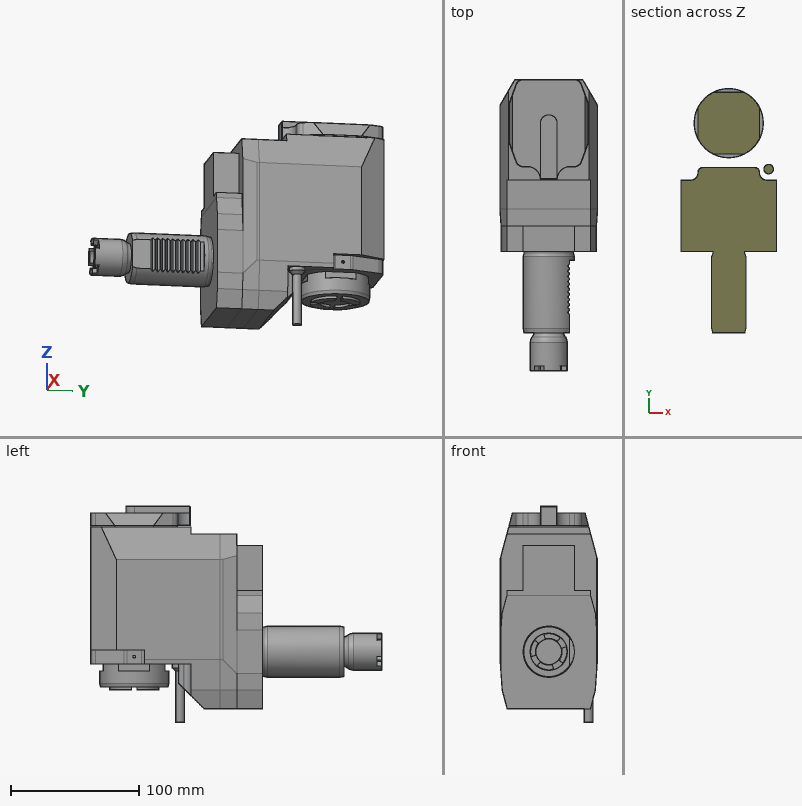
import cadquery as cq
import math


HALF_WIDTH = 38.0
STEEP_SLOPE = math.tan(math.radians(15))
SLIGHT_SLOPE = math.tan(math.radians(4))
BACK_SLOPE = math.tan(math.radians(30))
SIDE_TOP_Z = 72.0
SIDE_BOTTOM_Z = -6.2
LOWER_BREAK_Z = -30.0
HOUSING_BOTTOM_Z = -44.5
HOUSING_TOP_Z = 97.3
STEP_TOP_Z = 91.8

FLANGE_BACK_Y = 20.0
TAPER_BACK_Y = 31.0
SEAM_Y = 33.0
STEP_BACK_Y = 55.7
BACK_Y = 134.0
BACK_CHAMFER_LENGTH = 20.0
SPINDLE_Y = 100.0

UNDERSIDE_Z = -9.7
TOE_CHAMFER = 10.2
BOSS_BACK_Y = 65.5
BOSS_HALF_WIDTH = 24.0
BOSS_CORNER_RADIUS = 3.8
BOSS_ROOT_RADIUS = 5.5

FLANGE_SIDE_Z = 17.1
FLANGE_SHOULDER_Z = 43.8
LEDGE_TOP_Z = 47.9
BLOCK_TOP_Z = 82.9
BLOCK_HALF_WIDTH = 20.2

PLATE_END_HALF_WIDTH = 24.1
PLATE_CORNER_RADIUS = 5.75
PLATE_SIDE_SLOPE = math.tan(math.radians(20))
PLATE_HALF_LENGTH = BACK_Y - SPINDLE_Y
TOP_PLATE_BOTTOM_Z = 98.5
TOP_PLATE_TOP_Z = 108.3
PLATE_GAP_INSET = 0.25
BOTTOM_PLATE_TOP_Z = 1.5
BOTTOM_PLATE_HALF_WIDTH = 33.95
PAD_BLEND_RADIUS = 6.5
POCKET_FRONT_Y = 92.0
SIDE_HOLE_DIAMETER = 2.1
SIDE_HOLE_DEPTH = 4.0
SIDE_HOLE_Z = -3.8

KEY_WIDTH = 13.1
KEY_FRONT_Y = 56.3
KEY_BACK_Y = 106.5
KEY_TOP_Z = 113.5
KEY_CHAMFER = 0.6
KEY_FLARE_RADIUS = 9.7

NOSE_DIAMETER = 54.0
NOSE_FLAT_DISTANCE = 48.3
NOSE_FLAT_BOTTOM_Z = -14.9
NOSE_EDGE_Z = -24.9
NOSE_BOTTOM_Z = -27.6
NOSE_END_DIAMETER = 52.6
LUG_RING_DIAMETER = 38.7
LUG_RING_BORE = 23.0
LUG_BOTTOM_Z = -29.7
LUG_SLOT_WIDTH = 4.2

PIPE_DIAMETER = 7.0
PIPE_X = 31.1
PIPE_Y = 64.2
PIPE_BOTTOM_Z = -55.0
COLLAR_DIAMETER = 12.4
COLLAR_HEIGHT = 5.5
COLLAR_CHAMFER = 2.7

SHANK_DIAMETER = 40.0
SHANK_ROOT_DIAMETER = 38.7
SHANK_ROOT_LENGTH = 1.3
SHANK_ROOT_TAPER_END = 3.7
SHANK_LENGTH = 63.5
SHANK_END_CHAMFER_LENGTH = 3.5
SHANK_END_DIAMETER = 38.8
FLAT_X = 16.3
FLAT_START = 7.0
TOOTH_PITCH = 4.0
TOOTH_COUNT = 10
TOOTH_DEPTH = 1.5
TOOTH_HALF_OPENING = 1.7
FIRST_TOOTH = 11.4

COUPLING_DIAMETER = 29.0
COUPLING_NECK_DIAMETER = 23.0
COUPLING_END = 93.0
COUPLING_BODY_START = 70.9
COUPLING_NECK_HOLLOW = 0.3
COUPLING_SHOULDER_DIAMETER = 26.5
COUPLING_SHOULDER = 66.8
COUPLING_SHOULDER_BULGE = 0.3
COUPLING_RIM_CHAMFER = 0.4
COUPLING_BORE_DEPTH = 4.6
COUPLING_BORE = 20.0
COUPLING_SLOT_DEPTH = 3.8
COUPLING_SLOT_SPAN = 35.0
COUPLING_FIRST_SLOT = 33.0
COUPLING_SLOT_COUNT = 4

OVERSIZE = 200.0


def box(x_range, y_range, z_range):
    """Axis-aligned box between the given limits."""
    size = [high - low for low, high in (x_range, y_range, z_range)]
    corner = (x_range[0], y_range[0], z_range[0])
    return cq.Workplane("XY").box(*size, centered=False).translate(corner)


def both_sides(right_half):
    """Close a list of points with X >= 0 with their mirror image."""
    return right_half + [(-x, other) for x, other in reversed(right_half)]


def along_y(points, y_front, y_back):
    """Extrude an XZ outline from y_front to y_back."""
    sketch = cq.Workplane("XZ", origin=(0, y_front, 0)).polyline(points).close()
    return sketch.extrude(y_front - y_back)


def along_z(points, z_low, z_high):
    """Extrude an XY outline from z_low to z_high."""
    sketch = cq.Workplane("XY", origin=(0, 0, z_low)).polyline(points).close()
    return sketch.extrude(z_high - z_low)


def cylinder(diameter, z_top, z_bottom, x=0.0, y=SPINDLE_Y):
    """Vertical cylinder."""
    return cq.Workplane("XY", origin=(x, y, z_bottom)).circle(diameter / 2).extrude(z_top - z_bottom)


def upper_half_width(z):
    """Half width of the housing on its steep upper side faces."""
    return HALF_WIDTH - (z - SIDE_TOP_Z) * STEEP_SLOPE


def housing_section(z_top):
    """XZ outline of the housing up to z_top."""
    break_half = HALF_WIDTH - (SIDE_BOTTOM_Z - LOWER_BREAK_Z) * SLIGHT_SLOPE
    bottom_half = break_half - (LOWER_BREAK_Z - HOUSING_BOTTOM_Z) * STEEP_SLOPE
    right_half = [
        (bottom_half, HOUSING_BOTTOM_Z),
        (break_half, LOWER_BREAK_Z),
        (HALF_WIDTH, SIDE_BOTTOM_Z),
        (HALF_WIDTH, SIDE_TOP_Z),
        (upper_half_width(z_top), z_top),
    ]
    return both_sides(right_half)


def flange_half_width():
    """Half width where the front taper of the housing meets the flange."""
    return HALF_WIDTH - (TAPER_BACK_Y - FLANGE_BACK_Y) * SLIGHT_SLOPE


def tail_boss():
    """Rounded boss on the back of the housing foot, with hollow fillets at its root."""
    edge = BOSS_HALF_WIDTH
    root = edge + BOSS_ROOT_RADIUS
    arc_middle = 1 - math.sqrt(0.5)
    root_mid = BOSS_ROOT_RADIUS * arc_middle
    corner_mid = BOSS_CORNER_RADIUS * arc_middle
    half = (
        cq.Workplane("XY", origin=(0, 0, HOUSING_BOTTOM_Z))
        .moveTo(0, SEAM_Y)
        .lineTo(root, SEAM_Y)
        .lineTo(root, STEP_BACK_Y)
        .threePointArc((edge + root_mid, STEP_BACK_Y + root_mid), (edge, STEP_BACK_Y + BOSS_ROOT_RADIUS))
        .lineTo(edge, BOSS_BACK_Y - BOSS_CORNER_RADIUS)
        .threePointArc(
            (edge - corner_mid, BOSS_BACK_Y - corner_mid), (edge - BOSS_CORNER_RADIUS, BOSS_BACK_Y)
        )
        .lineTo(0, BOSS_BACK_Y)
        .close()
        .extrude(UNDERSIDE_Z - HOUSING_BOTTOM_Z)
    )
    return half.union(half.mirror("YZ"))


def toe_cut():
    """Wedge below the 45 degree plane at the lower back of the foot."""
    toe_y = STEP_BACK_Y - TOE_CHAMFER
    return (
        cq.Workplane("YZ", origin=(-OVERSIZE / 2, 0, 0))
        .moveTo(toe_y, HOUSING_BOTTOM_Z)
        .lineTo(toe_y + OVERSIZE, HOUSING_BOTTOM_Z + OVERSIZE)
        .lineTo(toe_y + OVERSIZE, HOUSING_BOTTOM_Z)
        .close()
        .extrude(OVERSIZE)
    )


def housing():
    """Main housing behind the front plate, with a pocket for the lower cover plate."""
    foot = along_y(housing_section(STEP_TOP_Z), SEAM_Y, STEP_BACK_Y)
    foot = foot.union(tail_boss()).cut(toe_cut())
    rear = along_y(housing_section(HOUSING_TOP_Z), STEP_BACK_Y, BACK_Y)
    rear = rear.intersect(
        box((-OVERSIZE, OVERSIZE), (STEP_BACK_Y, BACK_Y), (UNDERSIDE_Z, HOUSING_TOP_Z))
    )
    back_half = HALF_WIDTH - BACK_CHAMFER_LENGTH * BACK_SLOPE
    plan = both_sides(
        [(HALF_WIDTH, STEP_BACK_Y), (HALF_WIDTH, BACK_Y - BACK_CHAMFER_LENGTH), (back_half, BACK_Y)]
    )
    rear = rear.intersect(along_z(plan, UNDERSIDE_Z, HOUSING_TOP_Z))
    pocket = box(
        (-OVERSIZE, OVERSIZE), (POCKET_FRONT_Y, BACK_Y), (UNDERSIDE_Z, BOTTOM_PLATE_TOP_Z)
    )
    return foot.union(rear.cut(pocket))


def front_plate():
    """Front slice of the housing, tapering towards the flange."""
    plate = along_y(housing_section(STEP_TOP_Z), FLANGE_BACK_Y, SEAM_Y)
    plan = both_sides(
        [(flange_half_width(), FLANGE_BACK_Y), (HALF_WIDTH, TAPER_BACK_Y), (HALF_WIDTH, SEAM_Y)]
    )
    return plate.intersect(along_z(plan, HOUSING_BOTTOM_Z, STEP_TOP_Z))


def flange():
    """Flange with its ledge and the clamping block above it."""
    side_half = flange_half_width()
    break_half = side_half + (LOWER_BREAK_Z + FLANGE_SIDE_Z) * SLIGHT_SLOPE
    shoulder_half = break_half - (FLANGE_SHOULDER_Z + LOWER_BREAK_Z) * STEEP_SLOPE
    bottom_half = break_half - (LOWER_BREAK_Z - HOUSING_BOTTOM_Z) * STEEP_SLOPE
    outline = both_sides(
        [
            (bottom_half, HOUSING_BOTTOM_Z),
            (break_half, LOWER_BREAK_Z),
            (side_half, -FLANGE_SIDE_Z),
            (side_half, FLANGE_SIDE_Z),
            (break_half, -LOWER_BREAK_Z),
            (shoulder_half, FLANGE_SHOULDER_Z),
        ]
    )
    top_outline = both_sides(
        [
            (shoulder_half, FLANGE_SHOULDER_Z),
            (shoulder_half, LEDGE_TOP_Z),
            (BLOCK_HALF_WIDTH, LEDGE_TOP_Z),
            (BLOCK_HALF_WIDTH, BLOCK_TOP_Z),
        ]
    )
    block = along_y(top_outline, 0, FLANGE_BACK_Y)
    return along_y(outline, 0, FLANGE_BACK_Y).union(block, clean=False)


def cover_plate(side_half_width, z_low, z_high, inset=0.0):
    """Plate centred on the spindle, its sides sloping outwards to a flat, with rounded corners."""
    end = PLATE_HALF_LENGTH - inset
    end_half = PLATE_END_HALF_WIDTH - inset
    side_half = side_half_width - inset
    flat_end = end - (side_half - end_half) / PLATE_SIDE_SLOPE
    outline = both_sides(
        [(end_half, -end), (side_half, -flat_end), (side_half, flat_end), (end_half, end)]
    )
    plate = along_z(outline, z_low, z_high)
    for side in (">Y", "<Y"):
        plate = plate.faces(side).edges("|Z").fillet(PLATE_CORNER_RADIUS)
    return plate.translate((0, SPINDLE_Y, 0))


def key_flares():
    """Material between the key and the front edge of the top plate, hollowed by quarter circles."""
    front = SPINDLE_Y - PLATE_HALF_LENGTH
    web_half = KEY_WIDTH / 2 + KEY_FLARE_RADIUS
    web = box(
        (-web_half, web_half),
        (KEY_FRONT_Y + KEY_CHAMFER, front + KEY_WIDTH),
        (TOP_PLATE_BOTTOM_Z, TOP_PLATE_TOP_Z),
    )
    hollow = cylinder(
        2 * KEY_FLARE_RADIUS, TOP_PLATE_TOP_Z, TOP_PLATE_BOTTOM_Z, 0, front - KEY_FLARE_RADIUS
    )
    for side in (-1, 1):
        web = web.cut(hollow.translate((side * web_half, 0, 0)))
    return web


def top_plate():
    """Upper cover plate on a thin recessed joint, with its sides trimmed flush with the housing."""
    lower_half = upper_half_width(TOP_PLATE_BOTTOM_Z)
    plate = cover_plate(lower_half, TOP_PLATE_BOTTOM_Z, TOP_PLATE_TOP_Z).union(key_flares())
    trim = along_y(housing_section(TOP_PLATE_TOP_Z), 0, BACK_Y)
    joint = cover_plate(lower_half, HOUSING_TOP_Z, TOP_PLATE_BOTTOM_Z, PLATE_GAP_INSET)
    return plate.intersect(trim).union(joint)


def key():
    """Long key on the top plate, round at the back and chamfered at the front."""
    radius = KEY_WIDTH / 2
    straight_end = KEY_BACK_Y - radius
    bar = box((-radius, radius), (KEY_FRONT_Y, straight_end), (TOP_PLATE_BOTTOM_Z, KEY_TOP_Z))
    bar = bar.faces("<Y").edges("|Z or >Z").chamfer(KEY_CHAMFER)
    return bar.union(cylinder(KEY_WIDTH, KEY_TOP_Z, TOP_PLATE_BOTTOM_Z, 0, straight_end))


def bottom_plate():
    """Lower cover plate with a flat pad and a small hole on each side."""
    plate = cover_plate(BOTTOM_PLATE_HALF_WIDTH, UNDERSIDE_Z, BOTTOM_PLATE_TOP_Z)
    for side in (">X", "<X"):
        plate = plate.faces(side).edges("|Z").fillet(PAD_BLEND_RADIUS)
    for side in (-1, 1):
        hole = cq.Workplane("YZ", origin=(side * BOTTOM_PLATE_HALF_WIDTH, SPINDLE_Y, SIDE_HOLE_Z))
        plate = plate.cut(hole.circle(SIDE_HOLE_DIAMETER / 2).extrude(-side * SIDE_HOLE_DEPTH))
    return plate


def spindle_nose():
    """Spindle nose with four flats, a tapered end and a ring of lugs parted by cross slots."""
    body = cylinder(NOSE_DIAMETER, UNDERSIDE_Z, NOSE_BOTTOM_Z)
    body = body.faces("<Z").edges().chamfer(
        NOSE_EDGE_Z - NOSE_BOTTOM_Z, (NOSE_DIAMETER - NOSE_END_DIAMETER) / 2
    )
    flats = NOSE_FLAT_DISTANCE / 2
    square = box(
        (-flats, flats), (SPINDLE_Y - flats, SPINDLE_Y + flats), (NOSE_FLAT_BOTTOM_Z, UNDERSIDE_Z)
    )
    below = box(
        (-OVERSIZE, OVERSIZE), (-OVERSIZE, OVERSIZE), (NOSE_BOTTOM_Z, NOSE_FLAT_BOTTOM_Z)
    )
    body = body.intersect(square.union(below))
    ring = cylinder(LUG_RING_DIAMETER, NOSE_BOTTOM_Z, LUG_BOTTOM_Z)
    ring = ring.cut(cylinder(LUG_RING_BORE, NOSE_BOTTOM_Z, LUG_BOTTOM_Z))
    slot = (
        cq.Workplane("XY", origin=(0, SPINDLE_Y, LUG_BOTTOM_Z))
        .rect(LUG_SLOT_WIDTH, NOSE_DIAMETER)
        .extrude(NOSE_BOTTOM_Z - LUG_BOTTOM_Z)
    )
    centre = (0, SPINDLE_Y, 0)
    for angle in (0, 90):
        ring = ring.cut(slot.rotate(centre, (0, SPINDLE_Y, 1), angle))
    return body.union(ring)


def coolant_pipe():
    """Straight pipe hanging from the underside through a chamfered collar."""
    pipe = cylinder(PIPE_DIAMETER, UNDERSIDE_Z, PIPE_BOTTOM_Z, PIPE_X, PIPE_Y)
    collar = cylinder(COLLAR_DIAMETER, UNDERSIDE_Z, UNDERSIDE_Z - COLLAR_HEIGHT, PIPE_X, PIPE_Y)
    return pipe.union(collar.faces("<Z").edges().chamfer(COLLAR_CHAMFER))


def turned(profile):
    """Revolve a chain of (radius, distance in front of the flange) points about the shank axis."""
    outline = [(0, profile[0][1])] + profile + [(0, profile[-1][1])]
    sketch = cq.Workplane("XY").polyline([(radius, -distance) for radius, distance in outline])
    return sketch.close().revolve(360, (0, 0, 0), (0, 1, 0))


def shank():
    """Cylindrical shank with a toothed clamping flat on its +X side."""
    radius = SHANK_DIAMETER / 2
    body = turned(
        [
            (SHANK_ROOT_DIAMETER / 2, 0),
            (SHANK_ROOT_DIAMETER / 2, SHANK_ROOT_LENGTH),
            (radius, SHANK_ROOT_TAPER_END),
            (radius, SHANK_LENGTH - SHANK_END_CHAMFER_LENGTH),
            (SHANK_END_DIAMETER / 2, SHANK_LENGTH),
        ]
    )
    body = body.cut(box((FLAT_X, radius), (-SHANK_LENGTH, -FLAT_START), (-radius, radius)))
    for index in range(TOOTH_COUNT):
        valley_y = -FIRST_TOOTH - index * TOOTH_PITCH
        valley = [
            (FLAT_X, valley_y - TOOTH_HALF_OPENING),
            (FLAT_X - TOOTH_DEPTH, valley_y),
            (FLAT_X, valley_y + TOOTH_HALF_OPENING),
        ]
        body = body.cut(along_z(valley, -radius, radius))
    return body


def coupling():
    """Drive coupling with a waisted neck, a bored end face and radial slots in the rim."""
    radius = COUPLING_DIAMETER / 2
    neck_radius = COUPLING_NECK_DIAMETER / 2
    slot_floor = COUPLING_END - COUPLING_SLOT_DEPTH
    shoulder = COUPLING_SHOULDER_DIAMETER / 2
    hollow = (
        (neck_radius + shoulder) / 2 - COUPLING_NECK_HOLLOW,
        -(SHANK_LENGTH + COUPLING_SHOULDER) / 2,
    )
    bulge = (
        (shoulder + radius) / 2 + COUPLING_SHOULDER_BULGE,
        -(COUPLING_SHOULDER + COUPLING_BODY_START) / 2,
    )
    body = (
        cq.Workplane("XY")
        .moveTo(0, -SHANK_LENGTH)
        .lineTo(neck_radius, -SHANK_LENGTH)
        .threePointArc(hollow, (shoulder, -COUPLING_SHOULDER))
        .threePointArc(bulge, (radius, -COUPLING_BODY_START))
        .lineTo(radius, -COUPLING_END)
        .lineTo(0, -COUPLING_END)
        .close()
        .revolve(360, (0, 0, 0), (0, 1, 0))
    )
    bore_radius = COUPLING_BORE / 2
    body = body.cut(
        turned([(bore_radius, COUPLING_END - COUPLING_BORE_DEPTH), (bore_radius, COUPLING_END)])
    )
    body = body.faces("<Y").edges().chamfer(COUPLING_RIM_CHAMFER)
    half_span = math.radians(COUPLING_SLOT_SPAN / 2)
    reach = COUPLING_DIAMETER
    wedge = [
        (0, 0),
        (reach * math.cos(half_span), -reach * math.sin(half_span)),
        (reach * math.cos(half_span), reach * math.sin(half_span)),
    ]
    slot = along_y(wedge, -COUPLING_END, -slot_floor)
    for index in range(COUPLING_SLOT_COUNT):
        angle = COUPLING_FIRST_SLOT + index * 360 / COUPLING_SLOT_COUNT
        body = body.cut(slot.rotate((0, 0, 0), (0, -1, 0), angle))
    return body


result = housing().union(front_plate(), clean=False).union(flange(), clean=False)
for build in (top_plate, key, bottom_plate, spindle_nose, coolant_pipe, shank, coupling):
    result = result.union(build(), clean=False)